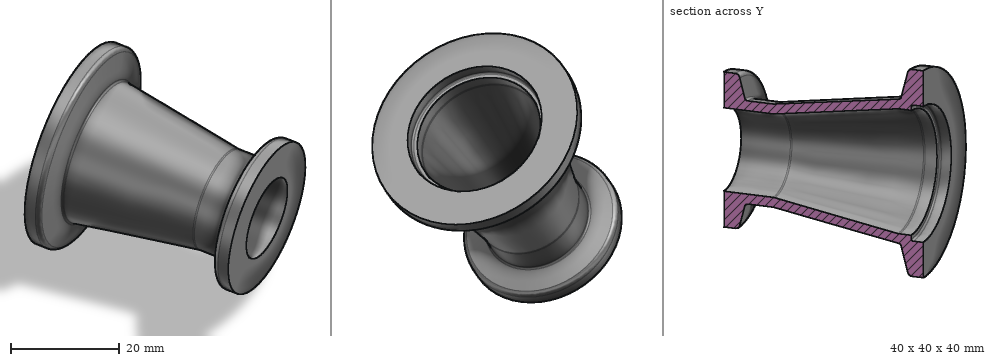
import cadquery as cq
import math

length = 40.0
large_rim_radius = 20.0
small_rim_radius = 15.0
rim_width = 3.0
flank_angle = 15.0

wall = 2.0
large_tube_radius = 14.0
small_tube_radius = 10.0
cone_end = 30.0
bore_cone_start = 5.0
large_bore_radius = large_tube_radius - wall
small_bore_radius = small_tube_radius - wall

recess_radius = 13.1
recess_depth = 2.4

rim_round = 1.0
flank_fillet = 0.5
cone_blend = 2.0
recess_fillet = 0.35


def flange_depth(rim_radius, tube_radius):
    """Axial distance from a flange face to where its flank meets the tube."""
    return rim_width + (rim_radius - tube_radius) * math.tan(math.radians(flank_angle))


def revolve_profile(points):
    """Revolve a closed (x, radius) outline about the X axis."""
    return cq.Workplane("XZ").polyline(points).close().revolve(360, (0, 0, 0), (1, 0, 0))


def blend_circle(body, x, radius, blend_radius):
    """Fillet the circular edge at the given axial place and radius."""
    near = 0.005
    edge = body.edges(
        cq.selectors.BoxSelector(
            (x - near, -radius - near, -radius - near),
            (x + near, radius + near, radius + near),
            boundingbox=True,
        )
    )
    return edge.fillet(blend_radius)


cone_start = flange_depth(large_rim_radius, large_tube_radius)
neck_end = length - flange_depth(small_rim_radius, small_tube_radius)


def make_outside():
    """Solid flanges, cone and neck with rounded corners."""
    body = revolve_profile([
        (0, 0),
        (0, large_rim_radius),
        (rim_width, large_rim_radius),
        (cone_start, large_tube_radius),
        (cone_end, small_tube_radius),
        (neck_end, small_tube_radius),
        (length - rim_width, small_rim_radius),
        (length, small_rim_radius),
        (length, 0),
    ])
    body = blend_circle(body, rim_width, large_rim_radius, rim_round)
    body = blend_circle(body, cone_start, large_tube_radius, flank_fillet)
    body = blend_circle(body, cone_end, small_tube_radius, cone_blend)
    body = blend_circle(body, neck_end, small_tube_radius, flank_fillet)
    return blend_circle(body, length - rim_width, small_rim_radius, rim_round)


def make_bore():
    """Tapered through bore with blended ends."""
    bore = revolve_profile([
        (0, 0),
        (0, large_bore_radius),
        (bore_cone_start, large_bore_radius),
        (cone_end, small_bore_radius),
        (length, small_bore_radius),
        (length, 0),
    ])
    bore = blend_circle(bore, bore_cone_start, large_bore_radius, cone_blend)
    return blend_circle(bore, cone_end, small_bore_radius, cone_blend)


def make_recess():
    """Stepped seat in the large face with a filleted floor corner."""
    recess = cq.Workplane("YZ").circle(recess_radius).extrude(recess_depth)
    return recess.faces(">X").edges().fillet(recess_fillet)


result = make_outside().cut(make_bore()).cut(make_recess())